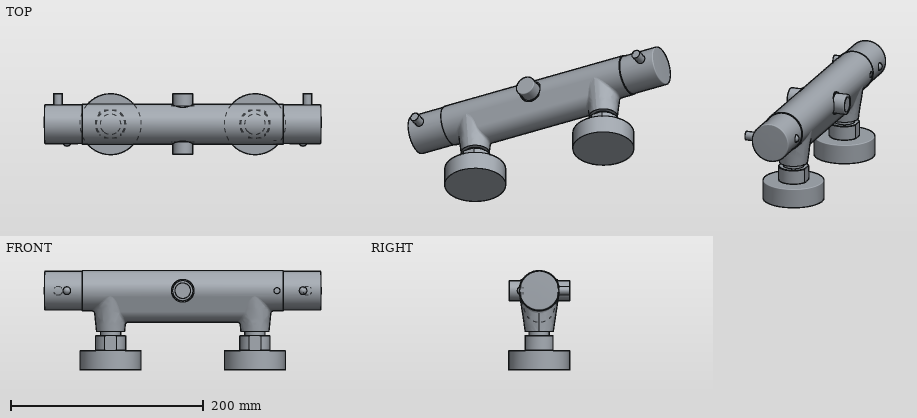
import cadquery as cq
import math

BAR_RADIUS = 21.0
BAR_LENGTH = 209.5
KEEL_RADIUS = 15.5
KEEL_BOTTOM = 32.8
BAR_END_CHAMFER = 0.5

HANDLE_RADIUS = 40.5 / 2
OVERALL_LENGTH = 287.7
HANDLE_DOME_RISE = 0.43
HANDLE_FILLET = 1.0
LEVER_RADIUS = 4.5
LEVER_X = 129.5
SCREW_HEAD_RADIUS = 4.3
SCREW_HEAD_RISE = 2.5
SCREW_HEAD_XS = (-120.3, 125.0)

STUB_RADIUS = 21.0 / 2
FRONT_STUB_END = -31.5
SEAT_RADIUS = 11.8
SEAT_Y = 18.7
RECESS_RADIUS = 8.0
RECESS_DEPTH = 0.3
STUB_END_FILLET = 1.0

LEG_SPACING = 150.0
LEG_BOTTOM = 42.5
LEG_BOTTOM_RADIUS = 14.7
LEG_TOP_RADIUS_X = 19.0
LEG_FILLET = 3.0
NECK_RADIUS = 10.6
NUT_TOP = 46.5
NUT_RADIUS = 15.8
NUT_ACROSS_FLATS = 29.0
NUT_CHAMFER = 0.5
ROSE_TOP = 62.1
ROSE_BOTTOM = 82.3
ROSE_RADIUS = 63.5 / 2
ROSE_FILLET = 1.0

BUTTON_RADIUS = 3.2
BUTTON_X = 97.8
BUTTON_DEPTH = 4.3

PICK_MARGIN = 0.3

LEG_XS = (-LEG_SPACING / 2, LEG_SPACING / 2)
REACH = ROSE_RADIUS


def cylinder_x(radius, start, end):
    return cq.Workplane("YZ", origin=(start, 0, 0)).circle(radius).extrude(end - start)


def cylinder_y(radius, x, start, end):
    return cq.Workplane("XZ", origin=(x, start, 0)).circle(radius).extrude(start - end)


def cylinder_z(radius, x, top, bottom):
    return cq.Workplane("XY", origin=(x, 0, -bottom)).circle(radius).extrude(bottom - top)


def make_keel():
    """Bar section between the legs: bar circle joined to a smaller, lower circle by tangent flats."""
    drop = KEEL_BOTTOM - KEEL_RADIUS
    sine = (BAR_RADIUS - KEEL_RADIUS) / drop
    cosine = math.sqrt(1 - sine**2)
    bar_y, bar_z = BAR_RADIUS * cosine, -BAR_RADIUS * sine
    keel_y, keel_z = KEEL_RADIUS * cosine, -drop - KEEL_RADIUS * sine
    return (
        cq.Workplane("YZ", origin=(LEG_XS[0], 0, 0))
        .moveTo(-bar_y, bar_z)
        .threePointArc((0, BAR_RADIUS), (bar_y, bar_z))
        .lineTo(keel_y, keel_z)
        .threePointArc((0, -KEEL_BOTTOM), (-keel_y, keel_z))
        .close()
        .extrude(LEG_SPACING)
    )


def make_leg_taper(x):
    return (
        cq.Workplane("XY", origin=(x, 0, -LEG_BOTTOM))
        .circle(LEG_BOTTOM_RADIUS)
        .workplane(offset=LEG_BOTTOM)
        .ellipse(LEG_TOP_RADIUS_X, BAR_RADIUS)
        .loft(ruled=True)
    )


def is_leg_joint(edge):
    """True for the curved edges where a leg taper meets the bar and its keel."""
    lowest_joint = -KEEL_BOTTOM - PICK_MARGIN
    return edge.geomType() == "BSPLINE" and edge.BoundingBox().zmin > lowest_joint


def make_bar_with_legs():
    bar = cylinder_x(BAR_RADIUS, -BAR_LENGTH / 2, BAR_LENGTH / 2)
    body = bar.faces("<X or >X").chamfer(BAR_END_CHAMFER).union(make_keel())
    for x in LEG_XS:
        body = body.union(make_leg_taper(x))
    joints = [edge for edge in body.edges().vals() if is_leg_joint(edge)]
    return body.newObject(joints).fillet(LEG_FILLET)


def add_stub(body, side, end):
    """Outlet stub rising to y = end from a flat seat that is partly sunk into the bar, partly proud of it."""
    seat_y = side * SEAT_Y
    seat_clearance = cylinder_y(SEAT_RADIUS, 0, seat_y, side * BAR_RADIUS)
    seat = cylinder_y(SEAT_RADIUS, 0, 0, seat_y)
    stub = cylinder_y(STUB_RADIUS, 0, 0, end)
    end_face = ">Y" if side > 0 else "<Y"
    stub = stub.faces(end_face).edges().fillet(STUB_END_FILLET)
    return body.cut(seat_clearance).union(seat).union(stub)


def make_front_recess():
    """Shallow round recess in the end face of the front stub."""
    return cylinder_y(RECESS_RADIUS, 0, FRONT_STUB_END + RECESS_DEPTH, FRONT_STUB_END)


def make_leg_foot(x):
    """Neck, nut with two flats and wall rose below a leg taper."""
    neck = cylinder_z(NECK_RADIUS, x, LEG_BOTTOM, NUT_TOP)
    nut = cylinder_z(NUT_RADIUS, x, NUT_TOP, ROSE_TOP).edges("%CIRCLE").chamfer(NUT_CHAMFER)
    flats = cq.Workplane("XY").box(2 * NUT_RADIUS, NUT_ACROSS_FLATS, 2 * ROSE_BOTTOM)
    nut = nut.intersect(flats.translate((x, 0, 0)))
    rose = cylinder_z(ROSE_RADIUS, x, ROSE_TOP, ROSE_BOTTOM).faces(">Z").edges().fillet(ROSE_FILLET)
    return neck.union(nut).union(rose)


def make_handle(side):
    """Handle on the -X (side = -1) or +X (side = 1) end, with a slightly domed end face."""
    rim_x = OVERALL_LENGTH / 2 - HANDLE_DOME_RISE
    half_chord = HANDLE_RADIUS / 2
    dome_radius = (HANDLE_RADIUS**2 + HANDLE_DOME_RISE**2) / (2 * HANDLE_DOME_RISE)
    mid_x = OVERALL_LENGTH / 2 - dome_radius + math.sqrt(dome_radius**2 - half_chord**2)
    handle = (
        cq.Workplane("XY")
        .moveTo(BAR_LENGTH / 2, 0)
        .lineTo(BAR_LENGTH / 2, HANDLE_RADIUS)
        .lineTo(rim_x, HANDLE_RADIUS)
        .threePointArc((mid_x, half_chord), (OVERALL_LENGTH / 2, 0))
        .close()
        .revolve(360, (0, 0, 0), (1, 0, 0))
    )
    rim_box = cq.selectors.BoxSelector(
        (rim_x - PICK_MARGIN, -BAR_RADIUS, -BAR_RADIUS),
        (rim_x + PICK_MARGIN, BAR_RADIUS, BAR_RADIUS),
        boundingbox=True,
    )
    handle = handle.edges(rim_box).fillet(HANDLE_FILLET)
    return handle if side > 0 else handle.mirror("YZ")


def make_screw_head(x):
    """Ball-shaped screw head that shows as a low dome on the front of a handle."""
    ball_y = -HANDLE_RADIUS - SCREW_HEAD_RISE + SCREW_HEAD_RADIUS
    return cq.Workplane("XY", origin=(x, ball_y, 0)).sphere(SCREW_HEAD_RADIUS)


def make_button():
    """Round button whose outer face is flush with the bar."""
    blank = cylinder_y(BUTTON_RADIUS, BUTTON_X, -BAR_RADIUS + BUTTON_DEPTH, -REACH)
    return blank.intersect(cylinder_x(BAR_RADIUS, 0, OVERALL_LENGTH / 2))


def make_housing(button):
    body = make_bar_with_legs()
    body = add_stub(body, -1, FRONT_STUB_END)
    body = add_stub(body, 1, REACH)
    body = body.cut(make_front_recess())
    for side in (-1, 1):
        body = body.union(make_handle(side))
        body = body.union(cylinder_y(LEVER_RADIUS, side * LEVER_X, 0, REACH))
    for x in LEG_XS:
        body = body.union(make_leg_foot(x))
    for x in SCREW_HEAD_XS:
        body = body.union(make_screw_head(x))
    return body.cut(button)


button = make_button()
housing = make_housing(button)
result = cq.Compound.makeCompound([housing.val(), button.val()])